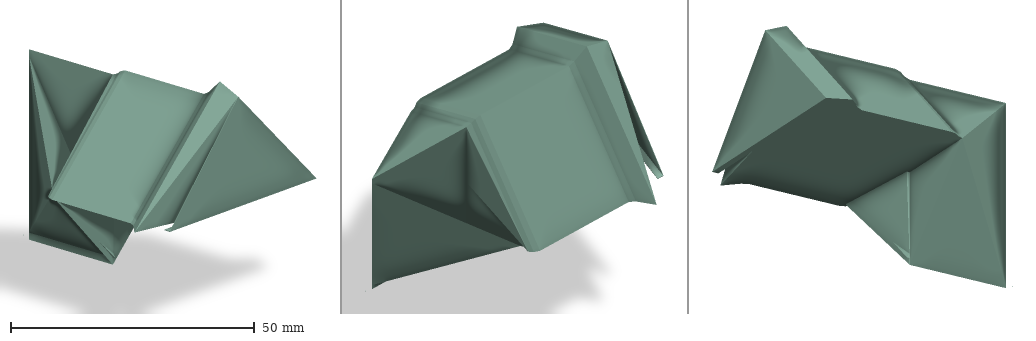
import cadquery as cq

sleeve_start = 24.75
sleeve_end = 59.5
hub_radius = 20.7
end_radius = 24.0
sleeve_radius = 22.4
flare_x = 54.4
flare_radius = 26.1
step_x = 26.0
step_radius = 21.2
sleeve_rings = [
    (sleeve_start, hub_radius),
    (step_x, step_radius),
    (26.95, 21.95),
    (28.2, sleeve_radius),
    (50.0, sleeve_radius),
    (51.3, 23.1),
    (flare_x, flare_radius),
    (sleeve_end, end_radius),
]

tab_start = 58.0
tab_reach = 20.95
tab_thickness = 0.2
end_web_thickness = 0.1

wedge_start = 1.55
front_radius = 19.15
front_end = 25.45
web_tip_x = 27.35
web_tip_y = -21.05

bead_size = 0.1
bead_z = -20.05


def flat_face(points):
    return cq.Face.makeFromWires(cq.Wire.makePolygon([cq.Vector(*p) for p in points], close=True))


def tetrahedron(a, b, c, d):
    faces = [flat_face(corners) for corners in ((a, b, c), (a, b, d), (a, c, d), (b, c, d))]
    return cq.Workplane(cq.Solid.makeSolid(cq.Shell.makeShell(faces)).fix())


def ring(x, radius):
    """Triangular section with its peak at +Z and its base on z = 0."""
    corners = [(x, radius, 0), (x, 0, radius), (x, -radius, 0)]
    return cq.Wire.makePolygon([cq.Vector(*p) for p in corners], close=True)


def upright_cut(outline):
    return cq.Workplane("XY").polyline(outline).close().extrude(flare_radius)


def make_sleeve():
    body = cq.Workplane(cq.Solid.makeLoft([ring(x, radius) for x, radius in sleeve_rings], True))
    body = body.cut(upright_cut([
        (sleeve_start, 0),
        (step_x, -step_radius),
        (sleeve_start, -step_radius),
    ]))
    body = body.cut(upright_cut([
        (sleeve_end, 0),
        (flare_x, -flare_radius),
        (sleeve_end, -flare_radius),
    ]))
    tab = cq.Workplane("XY").box(
        sleeve_end - tab_start, tab_reach, tab_thickness, centered=False
    ).translate((tab_start, -tab_reach, 0))
    end_web = (
        cq.Workplane("YZ")
        .workplane(offset=sleeve_end - end_web_thickness)
        .polyline([(0, 0), (-tab_reach, 0), (0, end_radius)])
        .close()
        .extrude(end_web_thickness)
    )
    return body.union(tab).union(end_web)


def make_rear_wedge():
    """Two tetrahedra that share the face from the upright front edge to the +Y tip."""
    front_top = (wedge_start, 0, hub_radius)
    front_bottom = (wedge_start, 0, -hub_radius)
    back_top = (sleeve_start, 0, hub_radius)
    back_bottom = (sleeve_start, 0, -hub_radius)
    tip = (sleeve_start, hub_radius, 0)
    upper = tetrahedron(front_top, front_bottom, back_top, tip)
    lower = tetrahedron(front_bottom, back_top, back_bottom, tip)
    return upper.union(lower)


def make_front_wedge():
    wedge = tetrahedron(
        (wedge_start, 0, front_radius),
        (wedge_start, 0, -front_radius),
        (front_end, 0, -front_radius),
        (front_end, -front_radius, 0),
    )
    web = tetrahedron(
        (sleeve_start, 0, -hub_radius),
        (sleeve_start, 0, 0),
        (front_end, 0, 0),
        (web_tip_x, web_tip_y, 0),
    )
    return wedge.union(web)


def make_bead():
    return cq.Workplane("XY").box(bead_size, bead_size, bead_size).translate((bead_size / 2, 0, bead_z))


sleeve = make_sleeve()
rear_wedge = make_rear_wedge()
front_wedge = make_front_wedge()
bead = make_bead()

result = cq.Compound.makeCompound([sleeve.val(), rear_wedge.val(), front_wedge.val(), bead.val()])